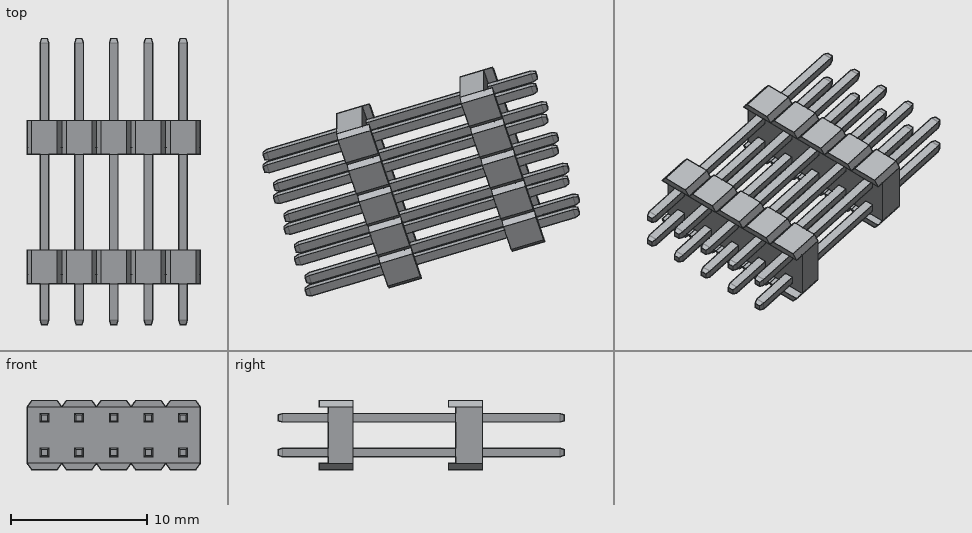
import cadquery as cq
import math

pitch = 2.55
columns = 5
rows = 2
width = columns * pitch
height = rows * pitch

pin_length = 21.0
pin_side = 0.65
tip_length = 0.34
tip_inset = 0.1

housing_depth = 2.5
housing_spacing = 9.5
rear_housing_back = 4.5
rear_core_depth = 1.97
front_core_depth = 1.83
flange_thickness = 0.48

groove_half_width = 0.34
groove_web = 0.02
groove_depth = flange_thickness - groove_web


def block(x_size, y_back, y_size, z_size):
    """Box centred in X and Z whose +Y face lies at y_back."""
    return cq.Workplane("XY").box(x_size, y_size, z_size).translate((0, y_back - y_size / 2, 0))


def groove(x, side, y_back):
    """V groove along Y, cut inward from the top (side = 1) or bottom (side = -1) face."""
    outer_z = side * height / 2
    tip_z = side * (height / 2 - groove_depth)
    return (
        cq.Workplane("XZ", origin=(0, y_back, 0))
        .polyline([(x - groove_half_width, outer_z), (x + groove_half_width, outer_z), (x, tip_z)])
        .close()
        .extrude(housing_depth)
    )


def housing(y_back, core_depth):
    """Core flush with the flanges at the back; the flanges overhang it toward -Y."""
    body = block(width, y_back, housing_depth, height)
    recess_depth = housing_depth - core_depth
    recess_height = height - 2 * flange_thickness
    body = body.cut(block(width, y_back - core_depth, recess_depth, recess_height))
    for boundary in range(columns + 1):
        x = boundary * pitch - width / 2
        for side in (1, -1):
            body = body.cut(groove(x, side, y_back))
    return body


def pin(x, z):
    """Square pin along Y with a tapered tip at both ends."""
    shank_length = pin_length - 2 * tip_length
    taper = math.degrees(math.atan(tip_inset / tip_length))
    shank = cq.Workplane("XY").box(pin_side, shank_length, pin_side)
    for end_face in (">Y", "<Y"):
        tip = shank.faces(end_face).workplane().rect(pin_side, pin_side)
        shank = shank.union(tip.extrude(tip_length, taper=taper, combine=False))
    return shank.translate((x, 0, z))


front_housing_back = rear_housing_back - housing_spacing
result = housing(rear_housing_back, rear_core_depth).union(housing(front_housing_back, front_core_depth))

for column in range(columns):
    for row in range(rows):
        pin_x = (column - (columns - 1) / 2) * pitch
        pin_z = (row - (rows - 1) / 2) * pitch
        result = result.union(pin(pin_x, pin_z))